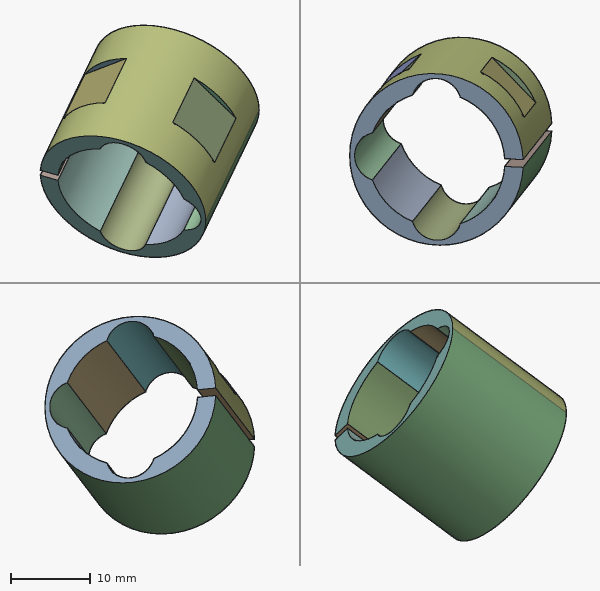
import cadquery as cq

outer_radius = 11.12
bore_radius = 8.74
length = 19.18

groove_radius = 3.18
groove_wall = 0.65
groove_angles = (0, 90, 270)

slit_width = 1.0

flat_length = 7.67
flat_distance = 10.38
flat_angles = (45, 135)


def rod(radius):
    """Cylinder along Y, centred at mid length."""
    return cq.Workplane("XZ", origin=(0, length / 2, 0)).circle(radius).extrude(length)


def turned(shape, angle):
    """Turn a shape from +X toward +Z about the sleeve axis."""
    return shape.rotate((0, 0, 0), (0, 1, 0), -angle)


sleeve = rod(outer_radius).cut(rod(bore_radius))

groove_offset = outer_radius - groove_wall - groove_radius
groove = rod(groove_radius).translate((groove_offset, 0, 0))
for angle in groove_angles:
    sleeve = sleeve.cut(turned(groove, angle))

slit = cq.Workplane("XY").box(outer_radius, length, slit_width, centered=(False, True, True))
sleeve = sleeve.cut(slit.translate((-outer_radius, 0, 0)))

flat_cutter = (
    cq.Workplane("XY")
    .box(outer_radius, flat_length, 2 * outer_radius)
    .translate((flat_distance + outer_radius / 2, 0, 0))
)
for angle in flat_angles:
    sleeve = sleeve.cut(turned(flat_cutter, angle))

result = sleeve